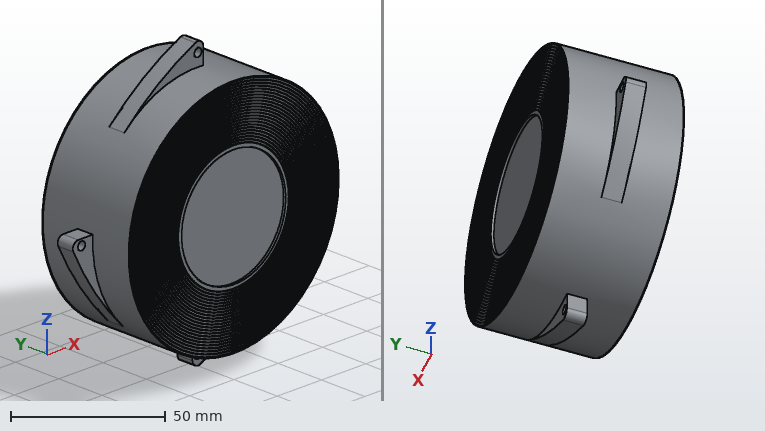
import cadquery as cq
import math

body_diameter = 95.0
body_length = 40.0
body_radius = body_diameter / 2
end_y = body_length / 2

recess_radius = 23.5
recess_depth = 1.0

groove_count = 23
first_groove_radius = 25.0
last_groove_radius = 47.0
groove_width = 0.2
groove_depth = 0.2
groove_pitch = (last_groove_radius - first_groove_radius) / (groove_count - 1)

lug_count = 4
lug_reach = 56.5
lug_thickness = 7.0
lug_tip_radius = 2.5
lug_hole_diameter = 3.3
lug_hole_distance = 52.5
lug_root_offset = 33.2


def make_body():
    return cq.Workplane("XZ").circle(body_radius).extrude(end_y, both=True)


def make_lug():
    """Lug pointing to +Z: straight side on +X, curved back running down to -X."""
    tip_centre_z = lug_reach - lug_tip_radius
    root_z = math.sqrt(body_radius**2 - lug_root_offset**2)

    root_direction_x = -lug_root_offset / body_radius
    root_direction_z = root_z / body_radius
    tip_height_along_root = tip_centre_z * root_direction_z
    back_radius = (
        body_radius**2 + tip_centre_z**2 - lug_tip_radius**2 - 2 * body_radius * tip_height_along_root
    ) / (2 * (body_radius - lug_tip_radius - tip_height_along_root))
    back_centre_x = (body_radius - back_radius) * root_direction_x
    back_centre_z = (body_radius - back_radius) * root_direction_z

    tip_direction = math.atan2(tip_centre_z - back_centre_z, -back_centre_x)
    back_start = (
        lug_tip_radius * math.cos(tip_direction),
        tip_centre_z + lug_tip_radius * math.sin(tip_direction),
    )
    profile = (
        cq.Workplane("XZ")
        .moveTo(lug_tip_radius, root_z)
        .lineTo(lug_tip_radius, tip_centre_z)
        .threePointArc((0, lug_reach), back_start)
        .tangentArcPoint((-lug_root_offset, root_z), relative=False)
        .close()
    )
    hole = (
        cq.Workplane("XZ")
        .center(0, lug_hole_distance)
        .circle(lug_hole_diameter / 2)
        .extrude(lug_thickness, both=True)
    )
    return profile.extrude(lug_thickness / 2, both=True).cut(hole)


def make_end_cuts():
    """Recess and grooves cut into the -Y end face."""
    face = cq.Workplane("XZ", origin=(0, -end_y, 0))
    cuts = face.circle(recess_radius).extrude(-recess_depth)
    for index in range(groove_count):
        inner_radius = first_groove_radius + index * groove_pitch
        groove = face.circle(inner_radius + groove_width).circle(inner_radius).extrude(-groove_depth)
        cuts = cuts.add(groove)
    return cuts.combine()


result = make_body()

lug = make_lug()
for index in range(lug_count):
    result = result.union(lug.rotate((0, 0, 0), (0, 1, 0), index * 360 / lug_count))

front_cuts = make_end_cuts()
result = result.cut(front_cuts).cut(front_cuts.mirror("XZ"))